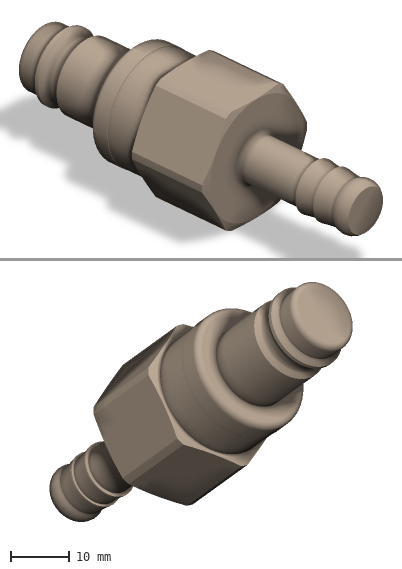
import cadquery as cq
import math

total_length = 74.4

nose_radius = 13.0 / 2
nose_rounding = 1.05
plug_radius = 15.0 / 2
ridge_start = 4.1
ridge_top_start = 5.1
ridge_top_end = 5.9
groove_radius = 12.65 / 2
groove_floor_start = 7.6
groove_floor_end = 8.3
groove_blend_start = 6.7
groove_blend_end = 9.2
groove_blend_radius = 6.6
groove_end = 10.1

flange_start = 21.35
flange_end = 25.4
flange_radius = 23.0 / 2
flange_rounding = 1.1
body_radius = 22.8 / 2

hex_start = 32.4
hex_end = 49.3
hex_length = hex_end - hex_start
across_flats = 24.2
across_corners = 27.1
hex_face_radius = 23.95 / 2
corner_chamfer_length = 0.45

tail_radius = 9.1 / 2
tail_fillet = 0.9
barb_starts = (62.9, 66.9)
bulb_start = 70.9
barb_radius = 5.2
barb_tip_length = 0.3
barb_root_radius = 4.75
barb_sag = 0.1
bulb_peak = 72.4
bulb_radius = 5.3
bulb_end_radius = 4.5

quarter_arc = math.sqrt(0.5)


def revolve_about_x(profile):
    """Close an (x, radius) profile and spin it around the X axis."""
    return profile.close().revolve(360, (0, 0, 0), (1, 0, 0))


def rounded_front_edge(profile, x, radius, rounding):
    """Climb the face at x and turn a quarter round onto the given radius."""
    inset = rounding * (1 - quarter_arc)
    return (
        profile.lineTo(x, radius - rounding)
        .threePointArc((x + inset, radius - inset), (x + rounding, radius))
    )


def make_plug_and_body():
    profile = cq.Workplane("XY").moveTo(0, 0)
    profile = rounded_front_edge(profile, 0, nose_radius, nose_rounding)
    profile = (
        profile.lineTo(ridge_start, nose_radius)
        .lineTo(ridge_top_start, plug_radius)
        .lineTo(ridge_top_end, plug_radius)
        .lineTo(groove_blend_start, groove_blend_radius)
        .tangentArcPoint((groove_floor_start, groove_radius), relative=False)
        .lineTo(groove_floor_end, groove_radius)
        .tangentArcPoint((groove_blend_end, groove_blend_radius), relative=False)
        .lineTo(groove_end, plug_radius)
        .lineTo(flange_start, plug_radius)
    )
    profile = rounded_front_edge(profile, flange_start, flange_radius, flange_rounding)
    profile = (
        profile.lineTo(flange_end, flange_radius)
        .lineTo(flange_end, body_radius)
        .lineTo(hex_start, body_radius)
        .lineTo(hex_start, 0)
    )
    return revolve_about_x(profile)


def make_hexagon():
    """Hexagonal prism trimmed by a cylinder with conical ends."""
    prism = (
        cq.Workplane("YZ", origin=(hex_start, 0, 0))
        .polygon(6, across_flats / math.cos(math.pi / 6))
        .extrude(hex_length)
    )
    corner_radius = across_corners / 2
    envelope = revolve_about_x(
        cq.Workplane("XY")
        .moveTo(hex_start, 0)
        .lineTo(hex_start, hex_face_radius)
        .lineTo(hex_start + corner_chamfer_length, corner_radius)
        .lineTo(hex_end - corner_chamfer_length, corner_radius)
        .lineTo(hex_end, hex_face_radius)
        .lineTo(hex_end, 0)
    )
    return prism.intersect(envelope)


def make_hose_tail():
    fillet_inset = tail_fillet * (1 - quarter_arc)
    profile = (
        cq.Workplane("XY")
        .moveTo(hex_end, 0)
        .lineTo(hex_end, tail_radius + tail_fillet)
        .threePointArc(
            (hex_end + fillet_inset, tail_radius + fillet_inset),
            (hex_end + tail_fillet, tail_radius),
        )
        .lineTo(barb_starts[0], tail_radius)
    )
    for start, end in zip(barb_starts, (*barb_starts[1:], bulb_start)):
        crest_end = start + barb_tip_length
        slope_middle = (crest_end + end) / 2
        slope_middle_radius = (barb_radius + barb_root_radius) / 2 - barb_sag
        profile = (
            profile.lineTo(start, barb_radius)
            .lineTo(crest_end, barb_radius)
            .threePointArc((slope_middle, slope_middle_radius), (end, barb_root_radius))
        )
    profile = (
        profile.threePointArc((bulb_peak, bulb_radius), (total_length, bulb_end_radius))
        .lineTo(total_length, 0)
    )
    return revolve_about_x(profile)


result = make_plug_and_body().union(make_hexagon()).union(make_hose_tail())